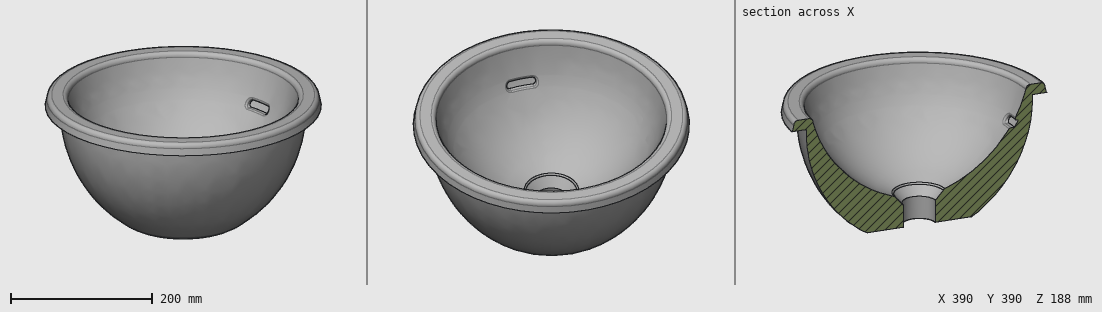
import cadquery as cq
import math

height = 188.0
rim_radius = 195.0
rim_thickness = 16.8
rim_draft = 2.5
rim_rounding = 7.0

shell_top_radius = 173.5
shell_middle = (157.5, -99.0)
shell_foot = (91.3, -181.5)
base_radius = 79.5

bowl_lip_radius = 169.5
bowl_lip_rounding = 7.0
bowl_middle = (140.5, -57.7)
bowl_bottom = (38.5, -138.5)
bowl_top = (bowl_lip_radius - bowl_lip_rounding, -bowl_lip_rounding)

drain_diameter = 48.8
drain_edge_rounding = 2.5
drain_cone_depth = 13.3

slot_straight = 33.5
slot_height = 9.8
slot_z = -56.5
slot_front = 117.0
slot_depth = 7.0
slot_edge_rounding = 3.0


def arc_middle(center, radius, degrees):
    """Point of a circle at the given angle, used as the middle of an arc."""
    angle = math.radians(degrees)
    return (center[0] + radius * math.cos(angle), center[1] + radius * math.sin(angle))


def make_basin():
    """Revolve the wall section, including the drain passage."""
    drain_radius = drain_diameter / 2
    rim_flat_radius = rim_radius - rim_draft - rim_rounding
    rim_center = (rim_flat_radius, -rim_rounding)
    lip_center = (bowl_lip_radius, -bowl_lip_rounding)

    cone_radius = bowl_bottom[0] - drain_edge_rounding
    cone_top = bowl_bottom[1] - drain_edge_rounding
    edge_center = (bowl_bottom[0], cone_top)

    section = (
        cq.Workplane("XZ")
        .moveTo(rim_radius, -rim_thickness)
        .lineTo(shell_top_radius, -rim_thickness)
        .threePointArc(shell_middle, shell_foot)
        .tangentArcPoint((base_radius, -height), relative=False)
        .lineTo(drain_radius, -height)
        .lineTo(drain_radius, cone_top - drain_cone_depth)
        .lineTo(cone_radius, cone_top)
        .threePointArc(arc_middle(edge_center, drain_edge_rounding, 135), bowl_bottom)
        .threePointArc(bowl_middle, bowl_top)
        .threePointArc(arc_middle(lip_center, bowl_lip_rounding, 135), (bowl_lip_radius, 0))
        .lineTo(rim_flat_radius, 0)
        .threePointArc(
            arc_middle(rim_center, rim_rounding, 45), (rim_radius - rim_draft, -rim_rounding)
        )
        .close()
    )
    return section.revolve(360, (0, 0, 0), (0, 1, 0))


def make_bowl_cavity():
    """Solid filling the curved part of the bowl."""
    section = (
        cq.Workplane("XZ")
        .moveTo(0, bowl_bottom[1])
        .lineTo(*bowl_bottom)
        .threePointArc(bowl_middle, bowl_top)
        .lineTo(0, bowl_top[1])
        .close()
    )
    return section.revolve(360, (0, 0, 0), (0, 1, 0))


def cut_overflow(basin):
    """Cut the blind overflow slot along Y and round its mouth."""
    slot_prism = (
        cq.Workplane("XZ", origin=(0, slot_front, slot_z))
        .slot2D(slot_straight + slot_height, slot_height)
        .extrude(slot_front - rim_radius)
    )
    cutter = slot_prism.intersect(make_bowl_cavity().translate((0, slot_depth, 0)))
    slotted = basin.cut(cutter)

    curved_faces = slotted.faces("not %PLANE").vals()
    bowl_face = max(curved_faces, key=lambda face: len(face.innerWires()))
    return slotted.newObject(bowl_face.innerWires()[0].Edges()).fillet(slot_edge_rounding)


result = cut_overflow(make_basin())